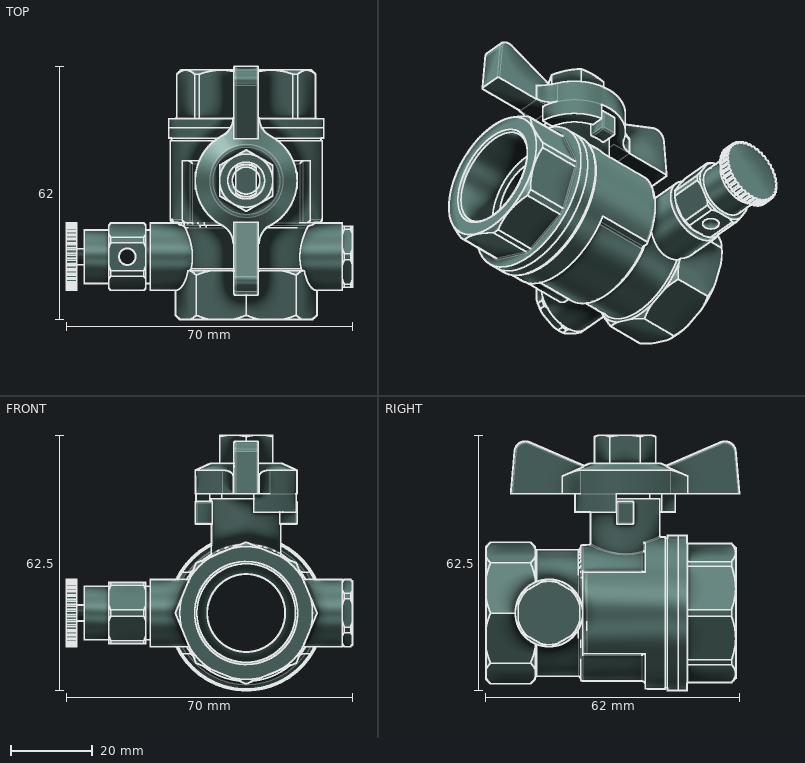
import cadquery as cq
import math


bore_d = 19.0
thread_d = 24.12
thread_mouth_d = 25.2
octagon_width = 32.0
octagon_chamfer = 1.1

front_y = -34.0
rear_y = 27.1
joint_y = 12.95
flange_r = 19.0

front_thread_depth = 17.0
front_octagon_y = -22.0
front_octagon_d = octagon_width / math.cos(math.pi / 8)
flange_front_y = 10.35
flange_groove_r = 18.3
flange_groove_width = 0.6
sleeve_r = 18.6
sleeve_end_y = -10.3
sleeve_edge_r = 0.9
barrel_r = 16.7
neck_r = 15.5
neck_root_fillet = 0.4
barrel_blend_r = (barrel_r - neck_r) / 2
barrel_end_y = sleeve_end_y - barrel_blend_r
pocket_rear_y = 4.9
pocket_half_height = 10.0
pocket_fillet = 0.8

tower_d = 17.0
tower_top = 27.9
tower_root_fillet = 0.3
lug_width = 4.2
lug_reach = 12.5
lug_bottom = 21.7
lug_top = 27.3
lug_fillet = 0.4

boss_y = -18.6
boss_d = 16.5
boss_end_x = 23.5

cap_octagon_d = 34.0
cap_flange_rear_y = 15.15
cap_root_fillet = 0.3
cap_thread_depth = 11.0

stem_d = 8.0
stem_flats = 5.0
stem_chamfer = 0.7
stem_collar_d = 12.0
stem_bottom = 11.0
stem_top = 43.5

handle_bottom = 29.1
hub_r = 12.45
hub_top = 36.65
hub_top_r = 8.6
hub_top_fillet = 1.8
hub_rim_z = 34.9
hub_slope = (hub_top - hub_rim_z) / (hub_r - hub_top_r)
web_width = 6.4
web_fillet = 4.9
wing_width = 6.0
wing_fillet = 0.4
wing_tip_y = 28.0
wing_peak_y = 26.75
wing_peak_z = 43.25
wing_peak_fillet = 2.7
wing_inner_y = 10.2
wing_inner_z = 36.1
skirt_bottom = 24.65
skirt_inner_r = 9.2
skirt_stop_y = 2.15
skirt_stop_x = 1.9

nut_width = 13.0
nut_top = 43.5
nut_mouth_d = 9.0
nut_thread_d = 6.75
nut_countersink_angle = 90.0
nut_chamfer_rise = 0.4

fitting_width = 15.0
fitting_chamfer = 0.5
drain_barrel_d = 13.16
drain_hex_start_x = -24.5
drain_hex_end_x = -33.6
drain_end_x = -39.6
drain_hole_d = 4.0
drain_hole_x = -29.05
plug_end_x = 26.0
spindle_d = 4.0
spindle_end_x = drain_hex_end_x
knob_d = 16.5
knob_inner_x = -41.4
knob_outer_x = -44.0
knob_grooves = 40
knob_groove_r = 0.4


def turned_prism(sides, width, turned_d, length, rise, inset, ends, turn=0.0):
    """Prism along +Z from Z = 0, its corners turned down and bevelled at the given ends."""
    corner_d = width / math.cos(math.pi / sides)
    prism = cq.Workplane("XY").polygon(sides, corner_d).extrude(length)
    prism = prism.rotate((0, 0, 0), (0, 0, 1), turn)
    blank = cq.Workplane("XY").circle(turned_d / 2).extrude(length)
    return prism.intersect(blank.faces(ends).chamfer(rise, inset))


def along_x(body, start_x, y):
    """Lay a body built along +Z down along +X."""
    return body.rotate((0, 0, 0), (0, 1, 0), 90).translate((start_x, y, 0))


def along_y(body, start_y):
    """Lay a body built along +Z down along +Y."""
    return body.rotate((0, 0, 0), (1, 0, 0), -90).translate((0, start_y, 0))


def cylinder_x(diameter, start_x, end_x):
    """Cylinder on the axis of the side bosses."""
    disc = cq.Workplane("YZ", origin=(start_x, boss_y, 0)).circle(diameter / 2)
    return disc.extrude(end_x - start_x)


def cylinder_y(radius, start_y, end_y):
    """Cylinder on the bore axis."""
    disc = cq.Workplane("XZ", origin=(0, start_y, 0)).circle(radius)
    return disc.extrude(start_y - end_y)


def threaded_mouth(face_y, inward, depth):
    """Tapped recess with a bevelled mouth; inward is the Y direction into the part."""
    bevel = (thread_mouth_d - thread_d) / 2
    profile = (
        cq.Workplane("XY")
        .moveTo(0, face_y)
        .lineTo(thread_mouth_d / 2, face_y)
        .lineTo(thread_d / 2, face_y + inward * bevel)
        .lineTo(thread_d / 2, face_y + inward * depth)
        .lineTo(0, face_y + inward * depth)
        .close()
    )
    return profile.revolve(360, (0, 0, 0), (0, 1, 0))


def make_barrel():
    """Inner barrel, blended into the narrower neck by an S-shaped step."""
    middle_r = neck_r + barrel_blend_r
    half = math.sqrt(0.5) * barrel_blend_r
    profile = (
        cq.Workplane("XY")
        .moveTo(0, joint_y)
        .lineTo(barrel_r, joint_y)
        .lineTo(barrel_r, barrel_end_y + barrel_blend_r)
        .threePointArc(
            (middle_r + half, barrel_end_y + barrel_blend_r - half), (middle_r, barrel_end_y)
        )
        .threePointArc(
            (middle_r - half, barrel_end_y - barrel_blend_r + half),
            (neck_r, barrel_end_y - barrel_blend_r),
        )
        .lineTo(neck_r, front_octagon_y + neck_root_fillet)
        .radiusArc((neck_r + neck_root_fillet, front_octagon_y), -neck_root_fillet)
        .lineTo(0, front_octagon_y)
        .close()
    )
    return profile.revolve(360, (0, 0, 0), (0, 1, 0))


def make_pocket():
    """Pocket cutter on the +Z side, its floor on the barrel and its floor edges rounded."""
    length = pocket_rear_y - front_octagon_y
    height = sleeve_r - pocket_half_height
    block = cq.Workplane("XY").box(2 * sleeve_r, length, height)
    block = block.translate((
        0, (pocket_rear_y + front_octagon_y) / 2, pocket_half_height + height / 2
    ))
    pocket = block.cut(cylinder_y(barrel_r, pocket_rear_y, front_octagon_y))
    return pocket.faces("%CYLINDER").edges("not <Y").fillet(pocket_fillet)


def make_sleeve():
    """Outer sleeve with a pocket above and below, left as two side cheeks in front."""
    sleeve = cylinder_y(sleeve_r, flange_front_y, sleeve_end_y).faces("<Y").edges().fillet(sleeve_edge_r)
    groove = cylinder_y(sleeve_r, flange_front_y, flange_front_y - flange_groove_width)
    groove = groove.cut(cylinder_y(flange_groove_r, flange_front_y, sleeve_end_y))
    sleeve = sleeve.cut(groove)
    pocket = make_pocket()
    for turn in (0, 180):
        sleeve = sleeve.cut(pocket.rotate((0, 0, 0), (0, 1, 0), turn))
    return sleeve


def make_lugs():
    """Two stops for the handle, on either side of the stem tower."""
    lug_height = lug_top - lug_bottom
    bar = cq.Workplane("XY").box(2 * lug_reach, lug_width, lug_height).edges().fillet(lug_fillet)
    return bar.translate((0, 0, (lug_top + lug_bottom) / 2))


def make_housing():
    body = make_barrel().union(make_sleeve())
    tower = cq.Workplane("XY").circle(tower_d / 2).extrude(tower_top)
    body = body.union(tower)
    root_zone = cq.selectors.BoxSelector(
        (-tower_d, -tower_d, pocket_half_height), (tower_d, tower_d, flange_r), boundingbox=True
    )
    body = body.edges(root_zone).edges("%BSPLINE").fillet(tower_root_fillet)
    body = body.union(cylinder_y(flange_r, joint_y, flange_front_y))
    body = body.union(cylinder_x(boss_d, -boss_end_x, boss_end_x))
    octagon = turned_prism(
        8, octagon_width, front_octagon_d, front_octagon_y - front_y,
        octagon_chamfer, octagon_chamfer, "<Z or >Z",
    )
    body = body.union(along_y(octagon, front_y))
    body = body.union(make_lugs())
    body = body.cut(cylinder_y(bore_d / 2, joint_y, front_y))
    return body.cut(threaded_mouth(front_y, 1, front_thread_depth))


def make_end_cap():
    octagon = turned_prism(
        8, octagon_width, cap_octagon_d, rear_y - joint_y, octagon_chamfer, octagon_chamfer, ">Z"
    )
    cap = along_y(octagon, joint_y)
    cap = cap.union(cylinder_y(flange_r, cap_flange_rear_y, joint_y))
    root_zone = cq.selectors.BoxSelector(
        (-cap_octagon_d, cap_flange_rear_y - cap_root_fillet, -cap_octagon_d),
        (cap_octagon_d, cap_flange_rear_y + cap_root_fillet, cap_octagon_d),
        boundingbox=True,
    )
    flange_edge = cq.selectors.RadiusNthSelector(-1)
    cap = cap.edges(root_zone - flange_edge).fillet(cap_root_fillet)
    cap = cap.cut(cylinder_y(bore_d / 2, rear_y, joint_y))
    return cap.cut(threaded_mouth(rear_y, -1, cap_thread_depth))


def make_stem():
    """Round stem with a collar under the handle and two flats above the collar."""
    round_stem = cq.Workplane("XY").workplane(offset=stem_bottom).circle(stem_d / 2)
    stem = round_stem.extrude(stem_top - stem_bottom).faces(">Z").chamfer(stem_chamfer)
    flats_height = stem_top - handle_bottom
    flats = cq.Workplane("XY").workplane(offset=handle_bottom).rect(stem_flats, stem_d).extrude(flats_height)
    below = cq.Workplane("XY").circle(stem_d).extrude(handle_bottom)
    stem = stem.intersect(flats.union(below))
    collar = cq.Workplane("XY").workplane(offset=tower_top).circle(stem_collar_d / 2)
    return stem.union(collar.extrude(handle_bottom - tower_top))


def make_hub():
    """Hub flared into the wings by concave fillets, under one conical top."""
    half = web_width / 2
    fillet_x = half + web_fillet
    fillet_y = math.sqrt((hub_r + web_fillet) ** 2 - fillet_x ** 2)
    hub_share = hub_r / (hub_r + web_fillet)
    touch_x = fillet_x * hub_share
    touch_y = fillet_y * hub_share
    mid_angle = (math.pi + math.atan2(touch_y - fillet_y, touch_x - fillet_x) + 2 * math.pi) / 2
    mid_x = fillet_x + web_fillet * math.cos(mid_angle)
    mid_y = fillet_y + web_fillet * math.sin(mid_angle)
    outline = (
        cq.Workplane("XY")
        .workplane(offset=handle_bottom)
        .moveTo(half, fillet_y)
        .threePointArc((mid_x, mid_y), (touch_x, touch_y))
        .threePointArc((hub_r, 0), (touch_x, -touch_y))
        .threePointArc((mid_x, -mid_y), (half, -fillet_y))
        .lineTo(-half, -fillet_y)
        .threePointArc((-mid_x, -mid_y), (-touch_x, -touch_y))
        .threePointArc((-hub_r, 0), (-touch_x, touch_y))
        .threePointArc((-mid_x, mid_y), (-half, fillet_y))
        .close()
    )
    hub = outline.extrude(hub_top - handle_bottom)
    cone_r = fillet_y + half
    cone = (
        cq.Workplane("XZ")
        .moveTo(0, handle_bottom)
        .lineTo(cone_r, handle_bottom)
        .lineTo(cone_r, hub_top - (cone_r - hub_top_r) * hub_slope)
        .lineTo(hub_top_r, hub_top)
        .lineTo(0, hub_top)
        .close()
        .revolve(360, (0, 0, 0), (0, 1, 0))
    )
    cone = cone.faces(">Z").edges().fillet(hub_top_fillet)
    return hub.intersect(cone)


def make_wing():
    """Wing on the +Y side, rising to a rounded peak near its tip."""
    wing = (
        cq.Workplane("YZ", origin=(-wing_width / 2, 0, 0))
        .moveTo(wing_inner_y, handle_bottom)
        .lineTo(wing_tip_y, handle_bottom)
        .lineTo(wing_peak_y, wing_peak_z)
        .lineTo(wing_inner_y, wing_inner_z)
        .close()
        .extrude(wing_width)
    )
    peak = cq.selectors.NearestToPointSelector((0, wing_peak_y, wing_peak_z))
    wing = wing.edges(peak).fillet(wing_peak_fillet)
    return wing.faces("<X or >X").edges("not <Z").edges("not <Y").fillet(wing_fillet)


def make_skirts():
    """Two skirt segments under opposite quarters of the hub, which run against the lugs."""
    skirt = (
        cq.Workplane("XY")
        .workplane(offset=skirt_bottom)
        .circle(hub_r)
        .circle(skirt_inner_r)
        .extrude(handle_bottom - skirt_bottom)
    )
    quarters = (
        cq.Workplane("XY")
        .workplane(offset=skirt_bottom)
        .pushPoints([
            (skirt_stop_x + hub_r / 2, -skirt_stop_y - hub_r / 2),
            (-skirt_stop_x - hub_r / 2, skirt_stop_y + hub_r / 2),
        ])
        .rect(hub_r, hub_r)
        .extrude(handle_bottom - skirt_bottom)
    )
    return skirt.intersect(quarters)


def make_handle(stem):
    handle = make_hub().union(make_skirts(), clean=False)
    wing = make_wing()
    for turn in (0, 180):
        handle = handle.union(wing.rotate((0, 0, 0), (0, 0, 1), turn), clean=False)
    return handle.cut(stem, clean=False)


def make_nut(stem):
    """Nut with a countersunk mouth, screwed onto the stem."""
    corner_d = nut_width / math.cos(math.pi / 6)
    inset = (corner_d - nut_width) / 2
    nut = turned_prism(6, nut_width, corner_d, nut_top - hub_top, nut_chamfer_rise, inset, ">Z", 30)
    nut = nut.faces(">Z").workplane().cskHole(nut_thread_d, nut_mouth_d, nut_countersink_angle)
    return nut.translate((0, 0, hub_top)).cut(stem)


def make_fitting_hex(start_x, length, turn):
    """Turned hexagon of the drain valve and of the plug."""
    hexagon = turned_prism(
        6, fitting_width, boss_d, length, fitting_chamfer, fitting_chamfer, "<Z or >Z", turn
    )
    return along_x(hexagon, start_x, boss_y)


def make_drain_valve():
    """Drain body with a cross hole through its hexagon and a seat for the spindle."""
    drain = cylinder_x(drain_barrel_d, -boss_end_x, drain_end_x)
    drain = drain.union(make_fitting_hex(drain_hex_end_x, drain_hex_start_x - drain_hex_end_x, 30))
    hole = cq.Workplane("XY").center(drain_hole_x, boss_y).circle(drain_hole_d / 2)
    drain = drain.cut(hole.extrude(boss_d, both=True))
    return drain.cut(cylinder_x(spindle_d, drain_end_x, spindle_end_x))


def make_knob():
    """Grooved knob with its spindle."""
    knob = cylinder_x(knob_d, knob_outer_x, knob_inner_x)
    grooves = (
        cq.Workplane("YZ", origin=(knob_outer_x, boss_y, 0))
        .polarArray(knob_d / 2, 0, 360, knob_grooves)
        .circle(knob_groove_r)
        .extrude(knob_inner_x - knob_outer_x)
    )
    return knob.cut(grooves).union(cylinder_x(spindle_d, knob_inner_x, spindle_end_x))


def make_plug():
    return make_fitting_hex(boss_end_x, plug_end_x - boss_end_x, 0)


stem = make_stem()
housing = make_housing().cut(stem)
end_cap = make_end_cap()
handle = make_handle(stem)
nut = make_nut(stem)
drain_valve = make_drain_valve()
knob = make_knob()
plug = make_plug()

result = cq.Compound.makeCompound([
    housing.val(),
    end_cap.val(),
    stem.val(),
    handle.val(),
    nut.val(),
    drain_valve.val(),
    knob.val(),
    plug.val(),
])